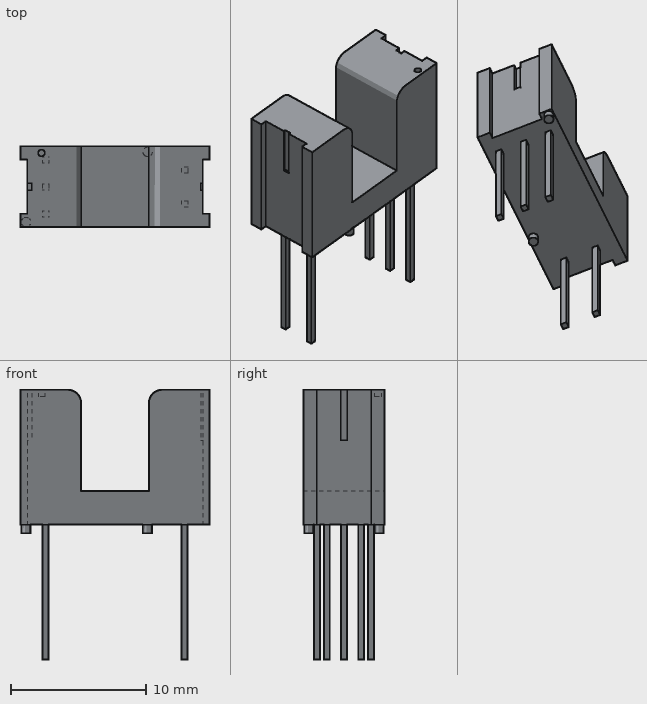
import cadquery as cq

body_length = 14.0
body_width = 6.0
body_height = 10.0

gap_width = 5.0
gap_floor_height = 2.5
gap_corner_radius = 1.0

channel_width = 4.0
channel_depth = 0.5

groove_width = 0.5
groove_length = 3.75
left_groove_depth = 0.35
right_groove_depth = 0.15

marker_diameter = 0.5
marker_depth = 0.5
marker_x = -5.45
marker_y = 2.5

peg_diameter = 0.7
peg_length = 0.65
peg_x_spacing = 9.0
peg_center_inset = 0.4
left_peg_x = -body_length / 2 + peg_center_inset
peg_y = body_width / 2 - peg_center_inset
peg_centers = [(left_peg_x, -peg_y), (left_peg_x + peg_x_spacing, peg_y)]

lead_thickness = 0.45
lead_length = 10.0
lead_row_spacing = 10.3
left_lead_pitch = 2.0
right_lead_pitch = 2.54
left_lead_count = 3
right_lead_count = 2


def make_housing():
    """Block with the open gap and its rounded upper corners."""
    half_length = body_length / 2
    half_gap = gap_width / 2
    shoulder_x = half_gap + gap_corner_radius
    shoulder_z = body_height - gap_corner_radius
    return (
        cq.Workplane("XZ")
        .moveTo(-half_length, 0)
        .lineTo(half_length, 0)
        .lineTo(half_length, body_height)
        .lineTo(shoulder_x, body_height)
        .radiusArc((half_gap, shoulder_z), -gap_corner_radius)
        .lineTo(half_gap, gap_floor_height)
        .lineTo(-half_gap, gap_floor_height)
        .lineTo(-half_gap, shoulder_z)
        .radiusArc((-shoulder_x, body_height), -gap_corner_radius)
        .lineTo(-half_length, body_height)
        .close()
        .extrude(body_width / 2, both=True)
    )


def make_end_recess(side, groove_depth):
    """Channel and groove cutter for one end; side is -1 (left) or 1 (right)."""
    end_x = side * body_length / 2
    channel = (
        cq.Workplane("XY")
        .center(end_x, 0)
        .rect(2 * channel_depth, channel_width)
        .extrude(body_height)
    )
    groove = (
        cq.Workplane("XY", origin=(0, 0, body_height))
        .center(end_x, 0)
        .rect(2 * (channel_depth + groove_depth), groove_width)
        .extrude(-groove_length)
    )
    return channel.union(groove)


def make_marker_hole():
    """Cutter for the blind marker hole."""
    return (
        cq.Workplane("XY", origin=(0, 0, body_height))
        .center(marker_x, marker_y)
        .circle(marker_diameter / 2)
        .extrude(-marker_depth)
    )


def make_pegs():
    """Pair of round pegs hanging below the underside."""
    return (
        cq.Workplane("XY")
        .pushPoints(peg_centers)
        .circle(peg_diameter / 2)
        .extrude(-peg_length)
    )


def make_lead_row(center_x, pitch, count):
    """Row of straight square leads centred on Y = 0."""
    first_y = -pitch * (count - 1) / 2
    centers = [(center_x, first_y + i * pitch) for i in range(count)]
    return (
        cq.Workplane("XY")
        .pushPoints(centers)
        .rect(lead_thickness, lead_thickness)
        .extrude(-lead_length)
    )


housing = (
    make_housing()
    .cut(make_end_recess(-1, left_groove_depth))
    .cut(make_end_recess(1, right_groove_depth))
    .cut(make_marker_hole())
)

result = (
    housing
    .union(make_pegs())
    .union(make_lead_row(-lead_row_spacing / 2, left_lead_pitch, left_lead_count))
    .union(make_lead_row(lead_row_spacing / 2, right_lead_pitch, right_lead_count))
)